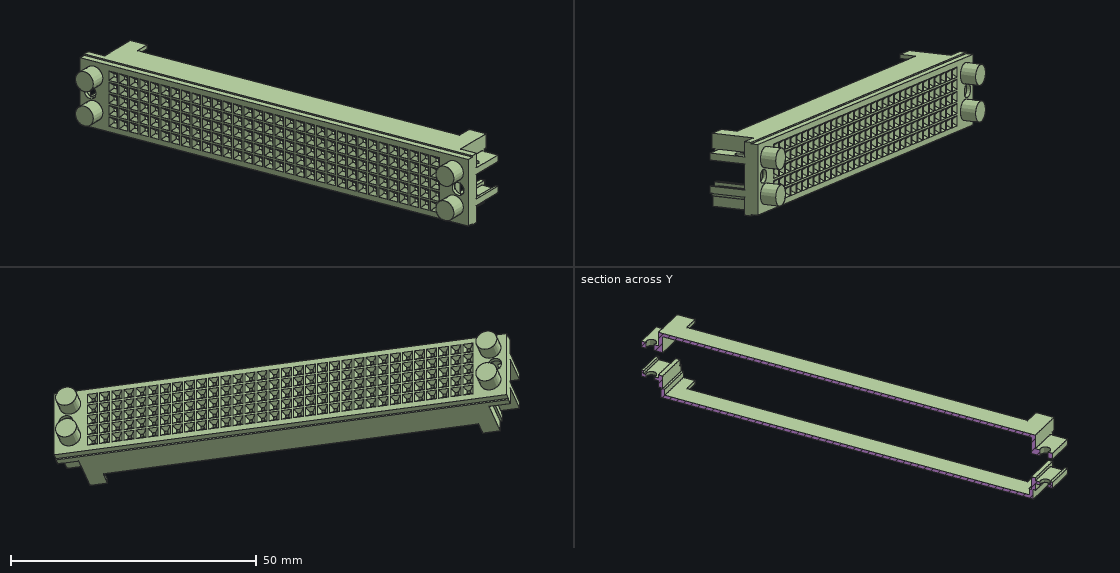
import cadquery as cq
length = 95.0
height = 15.4
flange_thickness = 3.05
front_slab_thickness = 1.5
front_slab_inset = 0.3

end_level = 0.3

shroud_end_gap = 3.95
shroud_x = length / 2 - shroud_end_gap
wall_thickness = 0.9
wall_back = 9.0
lug_width = 4.2
lug_back = 12.6

end_plate_thickness = 1.0
opening_height = 5.4
opening_lip_back = 12.0
lower_step_z = -5.4
lower_step = 0.5

ear_thickness = 1.5
ear_back = 11.0
ear_hole_diameter = 2.1
ear_hole_x = 45.5
ear_hole_y = 5.1
pocket_front = 0.9
pocket_depth = 0.7
pocket_lip_width = 0.6

screw_hole_diameter = 2.8
screw_hole_spacing = 90.0
pin_diameter = 4.4
pin_length = 3.5
pin_spacing_x = 88.2
pin_spacing_z = 7.65

columns = 32
rows = 5
pitch = 2.54
funnel_size = 2.1
funnel_depth = 0.8
contact_hole_diameter = 0.7

half_length = length / 2
top_z = height / 2
bottom_z = -height / 2
opening_top = end_level + opening_height / 2
opening_bottom = end_level - opening_height / 2
upper_ear_top = opening_top + ear_thickness
lower_ear_bottom = opening_bottom - ear_thickness


def block(x_min, x_max, y_min, y_max, z_min, z_max):
    """Axis-aligned box between the given limits."""
    size = (x_max - x_min, y_max - y_min, z_max - z_min)
    return cq.Workplane("XY").box(*size, centered=False).translate((x_min, y_min, z_min))


def make_flange():
    front_z = top_z - front_slab_inset
    front = block(-half_length, half_length, 0, front_slab_thickness, -front_z, front_z)
    rear = block(-half_length, half_length, front_slab_thickness, flange_thickness, bottom_z, top_z)
    return front.union(rear)


def make_wall(z_min, z_max, wall_x):
    """Long wall ending at +-wall_x, with a lug reaching further back at each end."""
    lug_x = shroud_x - lug_width
    wall = block(-wall_x, wall_x, flange_thickness, lug_back, z_min, z_max)
    return wall.cut(block(-lug_x, lug_x, wall_back, lug_back, z_min, z_max))


def make_right_end():
    """End plates and ears at the +X end."""
    plate_x = shroud_x - end_plate_thickness
    y_min = flange_thickness

    end = block(plate_x, shroud_x, y_min, lug_back, upper_ear_top, top_z)
    end = end.union(block(plate_x, shroud_x, y_min, opening_lip_back, opening_top, upper_ear_top))
    end = end.union(block(plate_x, shroud_x, y_min, lug_back, lower_step_z, lower_ear_bottom))
    end = end.union(
        block(plate_x - lower_step, shroud_x - lower_step, y_min, lug_back, bottom_z, lower_step_z)
    )
    end = end.union(
        block(plate_x, shroud_x, y_min, opening_lip_back, lower_ear_bottom, opening_bottom)
    )

    upper_ear = block(shroud_x, half_length, y_min, ear_back, opening_top, upper_ear_top)
    lower_ear = block(shroud_x, half_length, y_min, ear_back, lower_ear_bottom, opening_bottom)
    ear_holes = (
        cq.Workplane("XY", origin=(ear_hole_x, ear_hole_y, 0))
        .circle(ear_hole_diameter / 2)
        .extrude(height, both=True)
    )
    ears = upper_ear.union(lower_ear).cut(ear_holes)
    return end.union(ears)


def make_right_pocket():
    """Space between the +X ears that is cut from the lower ear and the flange."""
    return block(
        shroud_x,
        half_length - pocket_lip_width,
        pocket_front,
        ear_back,
        opening_bottom - pocket_depth,
        opening_top,
    )


def make_pins():
    return (
        cq.Workplane("XZ", origin=(0, 0, end_level))
        .rarray(pin_spacing_x, pin_spacing_z, 2, 2)
        .circle(pin_diameter / 2)
        .extrude(pin_length)
    )


def make_screw_holes():
    return (
        cq.Workplane("XZ", origin=(0, 0, end_level))
        .rarray(screw_hole_spacing, 1, 2, 1)
        .circle(screw_hole_diameter / 2)
        .extrude(-flange_thickness)
    )


def make_contact_cutters():
    """Funnels and their through holes, cut from the front face of the flange."""
    funnel = (
        cq.Workplane("XY")
        .rect(funnel_size, funnel_size)
        .workplane(offset=-funnel_depth)
        .rect(contact_hole_diameter, contact_hole_diameter)
        .loft()
    )
    hole = cq.Workplane("XY").circle(contact_hole_diameter / 2).extrude(-flange_thickness)
    cutter = funnel.union(hole).val()
    return (
        cq.Workplane("XZ")
        .rarray(pitch, pitch, columns, rows)
        .eachpoint(lambda place: cutter.moved(place), useLocalCoordinates=True)
    )


right_pocket = make_right_pocket()
right_end = make_right_end()
upper_wall = make_wall(top_z - wall_thickness, top_z, shroud_x)
lower_wall = make_wall(bottom_z, bottom_z + wall_thickness, shroud_x - lower_step)
result = (
    make_flange()
    .union(upper_wall)
    .union(lower_wall)
    .union(right_end)
    .union(right_end.mirror("YZ"))
    .cut(right_pocket)
    .cut(right_pocket.mirror("YZ"))
    .cut(make_screw_holes())
    .cut(make_contact_cutters())
    .union(make_pins())
)